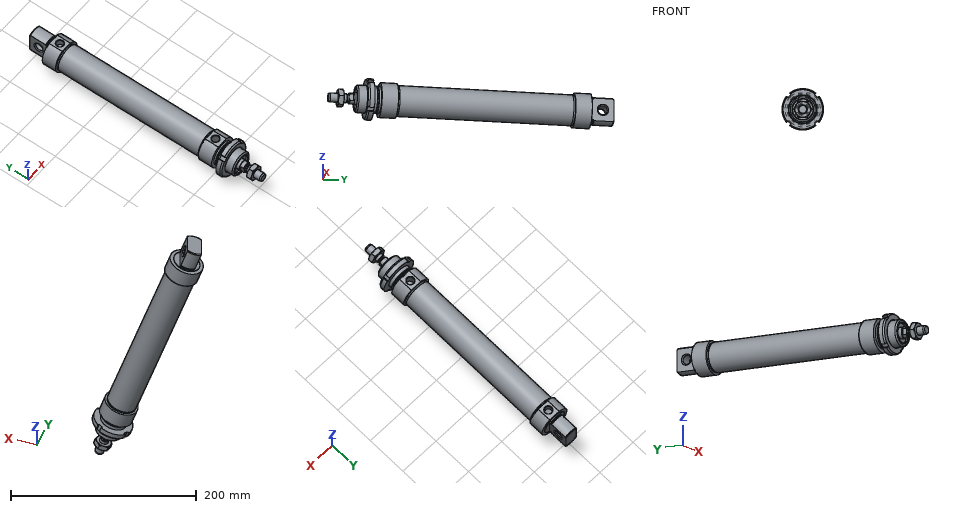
import cadquery as cq
import math

length = 311.5

tube_dia = 33.5
collar_dia = 33.0
collar_length = 2.0
cap_dia = 38.0
cap_length = 18.0
front_cap_y = 55.8
rear_cap_y = 268.0
front_cap_end_y = front_cap_y + cap_length
rear_cap_end_y = rear_cap_y + cap_length

nose_dia = 30.0
nose_end_y = 29.5
nose_chamfer = 1.5
relief_dia = 28.0
relief_width = 1.2
relief_chamfer = (nose_dia - relief_dia) / 2
front_shoulder_length = 2.2
rear_shoulder_length = 1.5
recess_dia = 22.0
recess_depth = 2.8
recess_chamfer = 0.5
lip_dia = 13.0
lip_end_y = 28.0

lug_thickness = 16.0
lug_flat_start_y = 286.5
lug_hole_dia = 10.0
lug_hole_chamfer = 1.2
lug_hole_inset = 12.0
lug_chamfer = 1.0

port_dia = 8.7
port_chamfer = 0.5
port_flat_width = 14.3
port_flat_z = math.sqrt((cap_dia / 2) ** 2 - (port_flat_width / 2) ** 2)
port_depth = 7.8
drill_tip_angle = 118.0
port_inset = 9.5
front_port_y = front_cap_y + port_inset
rear_port_y = rear_cap_end_y - port_inset

rod_dia = 12.0
rod_shoulder_y = 22.0
rod_chamfer = 1.0
rod_flat_y = 26.8
rod_flat_width = 10.0
thread_dia = 10.0
thread_chamfer = 1.0
tip_dia = 8.5
tip_chamfer_length = 2.0
neck_dia = 8.0
neck_width = 1.5

mount_nut_dia = 45.0
mount_nut_y = 40.2
mount_nut_thickness = 7.2
mount_nut_chamfer_radial = 1.2
mount_nut_chamfer_axial = 2.0
mount_nut_bore_chamfer = 0.5
slot_count = 4
slot_width = 5.0
slot_floor_radius = 20.2

rod_nut_across_flats = 17.0
rod_nut_across_corners = rod_nut_across_flats / math.cos(math.pi / 6)
rod_nut_y = 10.0
rod_nut_thickness = 6.2
rod_nut_face_dia = 16.8
rod_nut_chamfer_angle = 30.0


def turned(profile):
    """Solid of revolution about Y from (radius, y) points that start and end on the axis."""
    return cq.Workplane("XY").polyline(profile).close().revolve(360, (0, 0), (0, 1))


def cylinder(dia, start_y, end_y):
    """Cylinder on the Y axis between two Y positions."""
    return cq.Workplane("XZ", origin=(0, start_y, 0)).circle(dia / 2).extrude(start_y - end_y)


def turned_port(profile, port_y):
    """Solid of revolution about the vertical port axis from (radius, z) points."""
    port = cq.Workplane("XZ").polyline(profile).close().revolve(360, (0, 0), (0, 1))
    return port.translate((0, port_y, 0))


def port_cutter(port_y, floor_z):
    """Chamfered port hole from the cap flat down to floor_z."""
    hole_radius = port_dia / 2
    profile = [
        (0, floor_z),
        (hole_radius, floor_z),
        (hole_radius, port_flat_z - port_chamfer),
        (hole_radius + port_chamfer, port_flat_z),
        (0, port_flat_z),
    ]
    return turned_port(profile, port_y)


def drill_tip(port_y, floor_z):
    """Conical bottom below a blind port."""
    tip_depth = port_dia / 2 / math.tan(math.radians(drill_tip_angle / 2))
    return turned_port([(0, floor_z), (port_dia / 2, floor_z), (0, floor_z - tip_depth)], port_y)


def make_housing():
    nose_radius = nose_dia / 2
    relief_radius = relief_dia / 2
    relief_y = front_cap_y - front_shoulder_length
    rear_relief_y = rear_cap_end_y + rear_shoulder_length
    rear_thread_y = rear_relief_y + relief_width
    body = turned([
        (0, nose_end_y),
        (nose_radius - nose_chamfer, nose_end_y),
        (nose_radius, nose_end_y + nose_chamfer),
        (nose_radius, relief_y - relief_width - relief_chamfer),
        (relief_radius, relief_y - relief_width),
        (relief_radius, relief_y),
        (nose_radius, relief_y),
        (nose_radius, front_cap_y),
        (cap_dia / 2, front_cap_y),
        (cap_dia / 2, front_cap_end_y),
        (collar_dia / 2, front_cap_end_y),
        (collar_dia / 2, front_cap_end_y + collar_length),
        (tube_dia / 2, front_cap_end_y + collar_length),
        (tube_dia / 2, rear_cap_y - collar_length),
        (collar_dia / 2, rear_cap_y - collar_length),
        (collar_dia / 2, rear_cap_y),
        (cap_dia / 2, rear_cap_y),
        (cap_dia / 2, rear_cap_end_y),
        (nose_radius, rear_cap_end_y),
        (nose_radius, rear_relief_y),
        (relief_radius, rear_relief_y),
        (relief_radius, rear_thread_y),
        (nose_radius, rear_thread_y + relief_chamfer),
        (nose_radius, length - lug_chamfer),
        (nose_radius - lug_chamfer, length),
        (0, length),
    ])

    lug_length = length - lug_flat_start_y
    for side in (-1, 1):
        side_cut = cq.Workplane("XY").box(nose_dia, lug_length, nose_dia).translate(
            (side * (lug_thickness + nose_dia) / 2, lug_flat_start_y + lug_length / 2, 0)
        )
        body = body.cut(side_cut)

    hole_radius = lug_hole_dia / 2
    half = lug_thickness / 2
    pivot_hole = (
        cq.Workplane("XY")
        .polyline([
            (-half, 0),
            (-half, hole_radius + lug_hole_chamfer),
            (lug_hole_chamfer - half, hole_radius),
            (half - lug_hole_chamfer, hole_radius),
            (half, hole_radius + lug_hole_chamfer),
            (half, 0),
        ])
        .close()
        .revolve(360, (0, 0), (1, 0))
        .translate((0, length - lug_hole_inset, 0))
    )
    body = body.cut(pivot_hole)

    for cap_y in (front_cap_y, rear_cap_y):
        flat_cut = (
            cq.Workplane("XY", origin=(0, cap_y + cap_length / 2, port_flat_z))
            .rect(cap_dia, cap_length)
            .extrude(cap_dia / 2)
        )
        body = body.cut(flat_cut)

    rear_floor_z = port_flat_z - port_depth
    body = body.cut(port_cutter(front_port_y, 0))
    body = body.cut(port_cutter(rear_port_y, rear_floor_z))
    body = body.cut(drill_tip(rear_port_y, rear_floor_z))

    recess_floor_y = nose_end_y + recess_depth
    recess_radius = recess_dia / 2
    recess = turned([
        (0, nose_end_y),
        (recess_radius + recess_chamfer, nose_end_y),
        (recess_radius, nose_end_y + recess_chamfer),
        (recess_radius, recess_floor_y),
        (0, recess_floor_y),
    ])
    body = body.cut(recess)
    body = body.union(cylinder(lip_dia, lip_end_y, recess_floor_y))
    return body.cut(cylinder(rod_dia, lip_end_y, front_cap_end_y))


def make_rod():
    thread_radius = thread_dia / 2
    neck_y = rod_shoulder_y - neck_width
    neck_radius = neck_dia / 2
    rod = turned([
        (0, 0),
        (tip_dia / 2, 0),
        (thread_radius, tip_chamfer_length),
        (thread_radius, neck_y - thread_chamfer),
        (neck_radius, neck_y),
        (neck_radius, rod_shoulder_y),
        (rod_dia / 2 - rod_chamfer, rod_shoulder_y),
        (rod_dia / 2, rod_shoulder_y + rod_chamfer),
        (rod_dia / 2, front_cap_end_y),
        (0, front_cap_end_y),
    ])

    flat_length = rod_flat_y - rod_shoulder_y
    for side in (-1, 1):
        flat_cut = cq.Workplane("XY").box(rod_dia, flat_length, rod_dia).translate(
            (side * (rod_flat_width + rod_dia) / 2, rod_shoulder_y + flat_length / 2, 0)
        )
        rod = rod.cut(flat_cut)
    return rod


def make_mounting_nut():
    radius = mount_nut_dia / 2
    back_y = mount_nut_y + mount_nut_thickness
    nut = turned([
        (0, mount_nut_y),
        (radius - mount_nut_chamfer_radial, mount_nut_y),
        (radius, mount_nut_y + mount_nut_chamfer_axial),
        (radius, back_y),
        (0, back_y),
    ])

    bore_radius = nose_dia / 2
    bore = turned([
        (0, mount_nut_y),
        (bore_radius + mount_nut_bore_chamfer, mount_nut_y),
        (bore_radius, mount_nut_y + mount_nut_bore_chamfer),
        (bore_radius, back_y),
        (0, back_y),
    ])
    nut = nut.cut(bore)

    slot = cq.Workplane("XY").box(radius, mount_nut_thickness, slot_width).translate(
        (slot_floor_radius + radius / 2, mount_nut_y + mount_nut_thickness / 2, 0)
    )
    for i in range(slot_count):
        nut = nut.cut(slot.rotate((0, 0, 0), (0, 1, 0), (i + 0.5) * 360 / slot_count))
    return nut


def make_rod_nut():
    back_y = rod_nut_y + rod_nut_thickness
    corner_radius = rod_nut_across_corners / 2
    face_radius = rod_nut_face_dia / 2
    chamfer = (corner_radius - face_radius) * math.tan(math.radians(rod_nut_chamfer_angle))
    nut = (
        cq.Workplane("XZ", origin=(0, rod_nut_y, 0))
        .polygon(6, rod_nut_across_corners)
        .extrude(-rod_nut_thickness)
    )
    corner_envelope = turned([
        (0, rod_nut_y),
        (face_radius, rod_nut_y),
        (corner_radius, rod_nut_y + chamfer),
        (corner_radius, back_y - chamfer),
        (face_radius, back_y),
        (0, back_y),
    ])
    return nut.intersect(corner_envelope).cut(cylinder(thread_dia, rod_nut_y, back_y))


housing = make_housing()
rod = make_rod()
mounting_nut = make_mounting_nut()
rod_nut = make_rod_nut()

result = cq.Compound.makeCompound([housing.val(), rod.val(), mounting_nut.val(), rod_nut.val()])